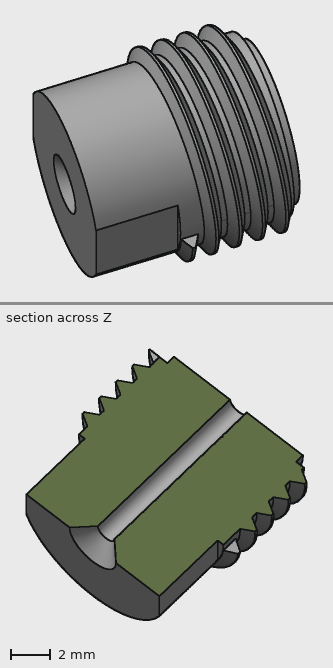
import cadquery as cq
import math

total_length = 11.0
spigot_length = 0.5
spigot_radius = 4.36
body_radius = 4.88
shoulder = total_length - spigot_length

flat_width = 8.99
flat_length = 4.4

hole_radius = 0.55
countersink_radius = 1.57
countersink_depth = countersink_radius - hole_radius

crest_radius = 5.55
flank_angle = 30.0
start_angle = 7.0
end_angle = 4 * 360.0 + 180.0
thread_rise = 5.6
pitch = thread_rise * 360 / (end_angle - start_angle)
crest_width = pitch / 8
thread_start = shoulder - thread_rise
root_overlap = 0.05


def make_thread():
    """Helical ridge along local Z, overrunning the shoulder by part of its width."""
    inner_radius = body_radius - root_overlap
    half_crest = crest_width / 2
    half_root = half_crest + (crest_radius - inner_radius) * math.tan(math.radians(flank_angle))
    helix = cq.Wire.makeHelix(pitch, thread_rise, body_radius)
    return (
        cq.Workplane("XZ")
        .polyline([
            (inner_radius, -half_root),
            (crest_radius, -half_crest),
            (crest_radius, half_crest),
            (inner_radius, half_root),
        ])
        .close()
        .sweep(cq.Workplane(helix), isFrenet=True)
        .rotate((0, 0, 0), (0, 0, 1), start_angle)
        .translate((0, 0, thread_start))
    )


def make_body():
    """Threaded body along local Z with the rear end turned down to the spigot."""
    blank = cq.Workplane("XY").circle(body_radius).extrude(total_length + pitch)
    threaded = blank.union(make_thread())
    envelope = (
        cq.Workplane("XY")
        .circle(2 * crest_radius)
        .extrude(shoulder)
        .faces(">Z")
        .workplane()
        .circle(spigot_radius)
        .extrude(spigot_length)
    )
    return threaded.intersect(envelope)


def cut_flats(part):
    """Cut the two parallel wrench flats at the front end."""
    cut_depth = body_radius
    for side in (-1, 1):
        cutter = (
            cq.Workplane("XY")
            .center(side * (flat_width + cut_depth) / 2, 0)
            .rect(cut_depth, 2 * body_radius)
            .extrude(flat_length)
        )
        part = part.cut(cutter)
    return part


def make_bore():
    """Revolved cutter for the through hole and its countersink."""
    return (
        cq.Workplane("XZ")
        .polyline([
            (0, 0),
            (countersink_radius, 0),
            (hole_radius, countersink_depth),
            (hole_radius, total_length),
            (0, total_length),
        ])
        .close()
        .revolve(360, (0, 0, 0), (0, 1, 0))
    )


part = cut_flats(make_body()).cut(make_bore())

result = part.rotate((0, 0, 0), (1, 0, 0), -90)